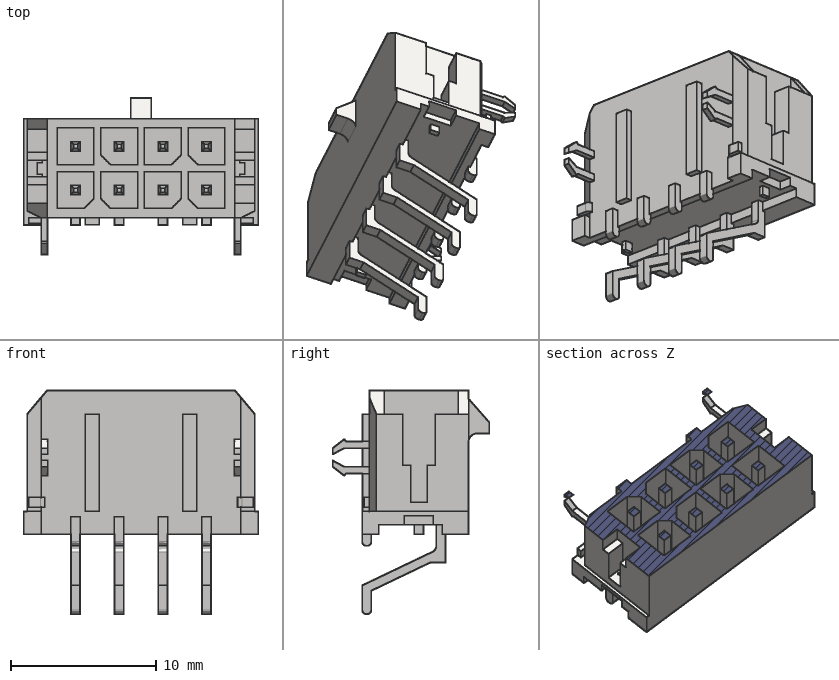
import cadquery as cq
import math


HOUSING_HEIGHT = 9.92
HOUSING_DEPTH = 6.83
HOUSING_HALF_WIDTH = 7.83
TOP_HALF_WIDTH = 6.46
SHOULDER_Z = 8.28
CORNER_BEVEL_X = 0.97
CORNER_BEVEL_Y = 0.48

FLANGE_HALF_WIDTH = 8.08
FLANGE_HEIGHT = 1.58
FLANGE_LIP = 0.5
CHANNEL_FRONT_Y = 0.66
CHANNEL_BACK_Y = 5.02
CHANNEL_HEIGHT = 0.66

RECESS_FRONT_Y = 1.02
RECESS_BACK_Y = 6.1
SLOT_CENTER_Y = 3.4
UPPER_SLOT_WIDTH = 2.25
UPPER_SLOT_FLOOR_Z = 4.76
LOWER_SLOT_WIDTH = 1.15
LOWER_SLOT_FLOOR_Z = 2.23

RIB_X = 3.36
RIB_WIDTH = 0.99
RIB_DEPTH = 0.48

PITCH = 3.0
COLUMNS = 4
FRONT_ROW_Y = 1.92
BACK_ROW_Y = FRONT_ROW_Y + PITCH
SOCKET_SIZE = 2.54
SOCKET_KEY = 0.68
SOCKET_FLOOR_Z = FLANGE_HEIGHT
NO_KEY, LEFT_KEY, RIGHT_KEY = 0, -1, 1
FRONT_ROW_KEYS = (RIGHT_KEY, LEFT_KEY, RIGHT_KEY, LEFT_KEY)
BACK_ROW_KEYS = (NO_KEY, LEFT_KEY, RIGHT_KEY, LEFT_KEY)
PIN = 0.65
CONTACT_TOP_Z = 7.27
CONTACT_TIP_HEIGHT = 0.97
CONTACT_TIP_SIZE = 0.27

TAIL_FRONT_Y = -FLANGE_LIP
TAIL_BACK_Y = TAIL_FRONT_Y + PIN
TAIL_TIP_RADIUS = 0.3
SHORT_TAIL_TOP_Z = 1.23
SHORT_TAIL_TIP_Z = -0.79
LONG_TAIL_TIP_Z = -5.49
LONG_TAIL_HEEL_Z = -1.94
LONG_TAIL_HEEL_Y = 4.2
LONG_TAIL_KNEE_Z = -3.5
LONG_TAIL_INNER_KNEE_Z = -3.88
LONG_TAIL_INNER_BEND_Z = -1.07
INNER_BEND_RADIUS = 0.45

LATCH_WIDTH = 1.42
LATCH_REACH = 1.42
LATCH_TOP_Z = 9.33
LATCH_NOSE_TOP_Z = 7.72
LATCH_UNDERSIDE_Z = 6.95
LATCH_FILLET = 0.6

CLIP_INNER_X = 6.43
CLIP_OUTER_X = 6.86
CLIP_CENTER_Z = 5.3
PRONG_GAP = 1.26
PRONG_THICKNESS = 0.48
PRONG_ROOT_DEPTH = 0.48
PRONG_LENGTH = 1.6
BARB_REACH = 1.73
BARB_HALF_HEIGHT = 1.26
TIP_REACH = 2.52
TIP_OUTER_OFFSET = 0.65
TIP_INNER_OFFSET = 0.21
FOOT_INNER_X = 6.6
FOOT_OUTER_X = 7.72
FOOT_DEPTH = 0.35
FOOT_BEND_RADIUS = 0.32
FOOT_BOTTOM_Z = 1.87
FOOT_TOP_Z = 2.55
SEAT_SHOULDER_X = 6.78
SEAT_OUTER_X = 7.12
SEAT_NARROW_WIDTH = 0.79
SEAT_DEPTH = 0.16
STEM_INNER_X = CLIP_INNER_X
STEM_OUTER_X = 6.73
STEM_WIDTH = 0.65
STEM_POCKET_WIDTH = 2.0
STEM_POCKET_TOP_Z = 1.28


def box(x, y, z):
    """Block spanning the given (low, high) pair along each axis."""
    return (
        cq.Workplane("XY")
        .box(x[1] - x[0], y[1] - y[0], z[1] - z[0], centered=False)
        .translate((x[0], y[0], z[0]))
    )


def centered(middle, size):
    return (middle - size / 2, middle + size / 2)


def side_profile(points, middle_x, width):
    """Extrude a closed (y, z) outline along X, centered on middle_x."""
    return (
        cq.Workplane("YZ", origin=(middle_x - width / 2, 0, 0))
        .polyline(points)
        .close()
        .extrude(width)
    )


def both_ends(solid):
    return solid.union(solid.mirror("YZ"))


def column_x(column):
    return (column - (COLUMNS - 1) / 2) * PITCH


def housing():
    silhouette = [
        (-HOUSING_HALF_WIDTH, 0),
        (HOUSING_HALF_WIDTH, 0),
        (HOUSING_HALF_WIDTH, SHOULDER_Z),
        (TOP_HALF_WIDTH, HOUSING_HEIGHT),
        (-TOP_HALF_WIDTH, HOUSING_HEIGHT),
        (-HOUSING_HALF_WIDTH, SHOULDER_Z),
    ]
    body = cq.Workplane("XZ").polyline(silhouette).close().extrude(-HOUSING_DEPTH)
    bevel = (
        cq.Workplane("XY")
        .moveTo(HOUSING_HALF_WIDTH, 0)
        .lineTo(HOUSING_HALF_WIDTH, CORNER_BEVEL_Y)
        .lineTo(HOUSING_HALF_WIDTH - CORNER_BEVEL_X, 0)
        .close()
        .extrude(HOUSING_HEIGHT)
    )
    return body.cut(both_ends(bevel)).union(both_ends(flange_end()))


def flange_end():
    return box(
        (HOUSING_HALF_WIDTH - CORNER_BEVEL_X, FLANGE_HALF_WIDTH),
        (-FLANGE_LIP, HOUSING_DEPTH),
        (0, FLANGE_HEIGHT),
    )


def end_slot():
    x = (TOP_HALF_WIDTH, HOUSING_HALF_WIDTH)
    recess = box(x, (RECESS_FRONT_Y, RECESS_BACK_Y), (SHOULDER_Z, HOUSING_HEIGHT))
    upper = box(x, centered(SLOT_CENTER_Y, UPPER_SLOT_WIDTH), (UPPER_SLOT_FLOOR_Z, HOUSING_HEIGHT))
    lower = box(x, centered(SLOT_CENTER_Y, LOWER_SLOT_WIDTH), (LOWER_SLOT_FLOOR_Z, HOUSING_HEIGHT))
    return recess.union(upper).union(lower)


def underside_channel():
    return box(
        (-FLANGE_HALF_WIDTH, FLANGE_HALF_WIDTH),
        (CHANNEL_FRONT_Y, CHANNEL_BACK_Y),
        (0, CHANNEL_HEIGHT),
    )


def clip_seat():
    """Shallow T-shaped seat sunk into the floor of the lower slot."""
    z = (LOWER_SLOT_FLOOR_Z - SEAT_DEPTH, LOWER_SLOT_FLOOR_Z)
    wide = box((TOP_HALF_WIDTH, SEAT_SHOULDER_X), centered(SLOT_CENTER_Y, LOWER_SLOT_WIDTH), z)
    narrow = box((SEAT_SHOULDER_X, SEAT_OUTER_X), centered(SLOT_CENTER_Y, SEAT_NARROW_WIDTH), z)
    return wide.union(narrow)


def stem_pocket():
    return box(
        (SEAT_OUTER_X, FLANGE_HALF_WIDTH),
        centered(SLOT_CENTER_Y, STEM_POCKET_WIDTH),
        (0, STEM_POCKET_TOP_Z),
    )


def socket(x, y, key):
    """Square socket, with one front corner filled in where it is keyed."""
    hole = box(
        centered(x, SOCKET_SIZE),
        centered(y, SOCKET_SIZE),
        (SOCKET_FLOOR_Z, HOUSING_HEIGHT),
    )
    if key == NO_KEY:
        return hole
    corner_x = x + key * SOCKET_SIZE / 2
    corner_y = y - SOCKET_SIZE / 2
    filler = (
        cq.Workplane("XY", origin=(0, 0, SOCKET_FLOOR_Z))
        .moveTo(corner_x, corner_y)
        .lineTo(corner_x - key * SOCKET_KEY, corner_y)
        .lineTo(corner_x, corner_y + SOCKET_KEY)
        .close()
        .extrude(HOUSING_HEIGHT - SOCKET_FLOOR_Z)
    )
    return hole.cut(filler)


def contact(x, y):
    """Square pin with a tapered tip, rooted in the socket floor."""
    shaft_top_z = CONTACT_TOP_Z - CONTACT_TIP_HEIGHT
    shaft = box(centered(x, PIN), centered(y, PIN), (CHANNEL_HEIGHT, shaft_top_z))
    tip = (
        cq.Workplane("XY", origin=(x, y, shaft_top_z))
        .rect(PIN, PIN)
        .workplane(offset=CONTACT_TIP_HEIGHT)
        .rect(CONTACT_TIP_SIZE, CONTACT_TIP_SIZE)
        .loft()
    )
    return shaft.union(tip)


def short_tail(x):
    tail = box(centered(x, PIN), (TAIL_FRONT_Y, TAIL_BACK_Y), (SHORT_TAIL_TIP_Z, SHORT_TAIL_TOP_Z))
    return tail.faces("<Z").edges("|X").fillet(TAIL_TIP_RADIUS)


def long_tail(x):
    """Tail that drops from the channel, slopes forward and drops again."""
    back_y = BACK_ROW_Y + PIN / 2
    front_y = BACK_ROW_Y - PIN / 2
    outline = [
        (back_y, CHANNEL_HEIGHT),
        (back_y, LONG_TAIL_HEEL_Z),
        (LONG_TAIL_HEEL_Y, LONG_TAIL_HEEL_Z),
        (TAIL_BACK_Y, LONG_TAIL_INNER_KNEE_Z),
        (TAIL_BACK_Y, LONG_TAIL_TIP_Z),
        (TAIL_FRONT_Y, LONG_TAIL_TIP_Z),
        (TAIL_FRONT_Y, LONG_TAIL_KNEE_Z),
        (front_y, LONG_TAIL_INNER_BEND_Z),
        (front_y, CHANNEL_HEIGHT),
    ]
    tail = side_profile(outline, x, PIN)
    tail = tail.faces("<Z").edges("|X").fillet(TAIL_TIP_RADIUS)
    inner_bend = cq.selectors.NearestToPointSelector((x, front_y, LONG_TAIL_INNER_BEND_Z))
    return tail.edges(inner_bend).fillet(INNER_BEND_RADIUS)


def latch():
    nose_y = HOUSING_DEPTH + LATCH_REACH
    diagonal = LATCH_FILLET * math.sqrt(0.5)
    arc_center_y = HOUSING_DEPTH + LATCH_FILLET
    arc_center_z = LATCH_UNDERSIDE_Z - LATCH_FILLET
    return (
        cq.Workplane("YZ", origin=(-LATCH_WIDTH / 2, 0, 0))
        .moveTo(HOUSING_DEPTH, LATCH_TOP_Z)
        .lineTo(nose_y, LATCH_NOSE_TOP_Z)
        .lineTo(nose_y, LATCH_UNDERSIDE_Z)
        .lineTo(arc_center_y, LATCH_UNDERSIDE_Z)
        .threePointArc(
            (arc_center_y - diagonal, arc_center_z + diagonal),
            (HOUSING_DEPTH, arc_center_z),
        )
        .close()
        .extrude(LATCH_WIDTH)
    )


def clip_prong(direction):
    """Barbed prong above (1) or below (-1) the middle of the clip."""
    inner = PRONG_GAP / 2
    outer = inner + PRONG_THICKNESS
    offsets = [
        (PRONG_ROOT_DEPTH, inner),
        (PRONG_ROOT_DEPTH, outer),
        (-PRONG_LENGTH, outer),
        (-BARB_REACH, BARB_HALF_HEIGHT),
        (-TIP_REACH, TIP_OUTER_OFFSET),
        (-TIP_REACH, TIP_INNER_OFFSET),
        (-BARB_REACH, inner),
    ]
    outline = [(y, CLIP_CENTER_Z + direction * offset) for y, offset in offsets]
    width = CLIP_OUTER_X - CLIP_INNER_X
    return side_profile(outline, CLIP_INNER_X + width / 2, width)


def clip_foot():
    """Tab across the front corner, rounded where it bends into the housing."""
    foot = box((FOOT_INNER_X, FOOT_OUTER_X), (-FOOT_DEPTH, 0), (FOOT_BOTTOM_Z, FOOT_TOP_Z))
    return foot.edges("|Z and <X and <Y").fillet(FOOT_BEND_RADIUS)


def clip_stem():
    """Stem hanging from the channel roof, level with the underside."""
    return box((STEM_INNER_X, STEM_OUTER_X), centered(SLOT_CENTER_Y, STEM_WIDTH), (0, CHANNEL_HEIGHT))


def front_rib():
    return box(centered(RIB_X, RIB_WIDTH), (-RIB_DEPTH, 0), (FLANGE_HEIGHT, SHOULDER_Z))


result = housing().cut(underside_channel())
for end_cut in (end_slot(), clip_seat(), stem_pocket()):
    result = result.cut(both_ends(end_cut))

for row_y, keys in ((FRONT_ROW_Y, FRONT_ROW_KEYS), (BACK_ROW_Y, BACK_ROW_KEYS)):
    for column, key in enumerate(keys):
        result = result.cut(socket(column_x(column), row_y, key))
        result = result.union(contact(column_x(column), row_y))

for column in range(COLUMNS):
    result = result.union(short_tail(column_x(column))).union(long_tail(column_x(column)))

result = result.union(latch())

for end_feature in (front_rib(), clip_prong(1), clip_prong(-1), clip_foot(), clip_stem()):
    result = result.union(end_feature).union(end_feature.mirror("YZ"))